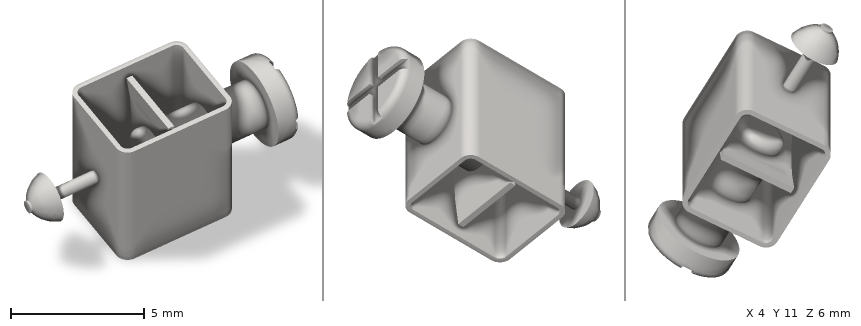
import cadquery as cq

overall_length = 11.0
tube_width = 4.0
tube_depth = 5.0
tube_height = 6.0
tube_wall = 0.2
tube_outer_radius = 0.5
tube_inner_radius = tube_outer_radius - tube_wall

screw_radius = 1.0
head_radius = 1.75
head_thickness = 1.0
head_edge_radius = 0.3
head_gap = 2.0
tip_depth_in_tube = 3.0
tip_edge_radius = 0.3
slot_width = 0.5
slot_depth = 0.22

plate_width = 3.0
plate_height = 5.5
plate_thickness = 0.25
plate_bow = 0.23
plate_tip_setback = 0.78

pin_radius = 0.25
cap_radius = 1.0
cap_height = 0.9
cap_middle_radius = 0.73
cap_middle_height = 0.53

tube_back = tube_depth / 2
tube_front = -tube_back
head_seat = tube_back + head_gap
head_top = head_seat + head_thickness
screw_tip = tube_back - tip_depth_in_tube
pin_tip = head_top - overall_length
cap_base = tube_front - head_gap


def cylinder_y(radius, start, end):
    """Cylinder on the Y axis between two Y positions."""
    return cq.Workplane("XZ", origin=(0, end, 0)).circle(radius).extrude(end - start)


def make_tube():
    outer = cq.Workplane("XY").box(tube_width, tube_depth, tube_height)
    outer = outer.edges("|Z").fillet(tube_outer_radius)
    bore = cq.Workplane("XY").box(
        tube_width - 2 * tube_wall, tube_depth - 2 * tube_wall, tube_height
    )
    return outer.cut(bore.edges("|Z").fillet(tube_inner_radius))


def make_screw():
    head = cylinder_y(head_radius, head_seat, head_top)
    head = head.faces(">Y").edges().fillet(head_edge_radius)
    for slot_x, slot_z in ((slot_width, 2 * head_radius), (2 * head_radius, slot_width)):
        slot = cq.Workplane("XY").box(slot_x, 2 * slot_depth, slot_z)
        head = head.cut(slot.translate((0, head_top, 0)))
    shank = cylinder_y(screw_radius, screw_tip, head_seat)
    shank = shank.faces("<Y").edges().fillet(tip_edge_radius)
    return head.union(shank)


def make_plate():
    """Plate whose upper and lower ends curve away from the screw head."""
    crown = screw_tip + plate_tip_setback
    end = crown - plate_bow
    half_height = plate_height / 2
    return (
        cq.Workplane("YZ", origin=(-plate_width / 2, 0, 0))
        .moveTo(end, -half_height)
        .threePointArc((crown, 0), (end, half_height))
        .lineTo(end - plate_thickness, half_height)
        .threePointArc((crown - plate_thickness, 0), (end - plate_thickness, -half_height))
        .close()
        .extrude(plate_width)
    )


def make_pin():
    wire = cylinder_y(pin_radius, pin_tip, tube_front + tube_wall)
    cap = (
        cq.Workplane("XY")
        .moveTo(0, cap_base)
        .lineTo(cap_radius, cap_base)
        .threePointArc(
            (cap_middle_radius, cap_base - cap_middle_height),
            (pin_radius, cap_base - cap_height),
        )
        .lineTo(0, cap_base - cap_height)
        .close()
        .revolve(360, (0, 0, 0), (0, 1, 0))
    )
    return wire.union(cap)


result = make_tube().union(make_screw()).union(make_plate()).union(make_pin())